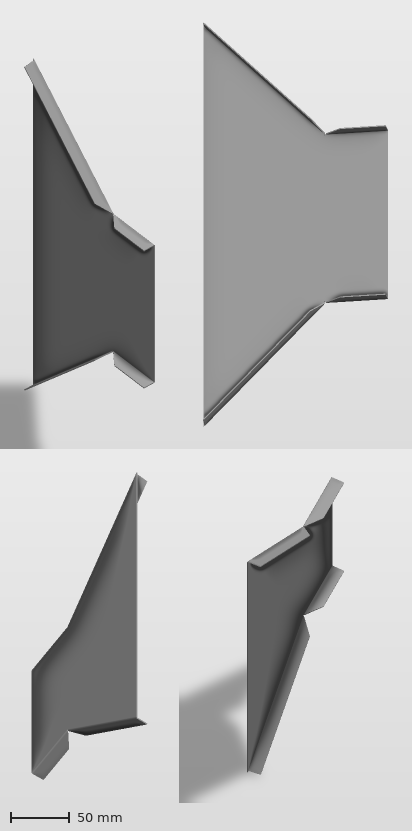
import cadquery as cq
import math

LENGTH = 160.13
DEPTH = 12.24
HEIGHT = 364.15

THICKNESS = 1.0
INNER_BEND_RADIUS = 0.24
OUTER_BEND_RADIUS = INNER_BEND_RADIUS + THICKNESS
HALF_HEIGHT = HEIGHT / 2
NECK_HALF_HEIGHT = 77.0
FLARE_ANGLE = 45
FLARE_STEP = 0.64
TIP_SETBACK = 1.5
COS_FLARE = math.cos(math.radians(FLARE_ANGLE))
SIN_FLARE = math.sin(math.radians(FLARE_ANGLE))

STEP_FOOT_X = TIP_SETBACK * COS_FLARE
STEP_FOOT_Z = HALF_HEIGHT - TIP_SETBACK * SIN_FLARE
FLARE_START_X = STEP_FOOT_X + FLARE_STEP * SIN_FLARE
FLARE_START_Z = STEP_FOOT_Z + FLARE_STEP * COS_FLARE

FLARE_FLANGE_LENGTH = (FLARE_START_Z - NECK_HALF_HEIGHT) / SIN_FLARE
NECK_START = FLARE_START_X + FLARE_FLANGE_LENGTH * COS_FLARE
NECK_FLANGE_LENGTH = LENGTH - NECK_START

NECK_TRIM = 15.0
TIP_TRIM = 1.2

RELIEF_DEPTH = 2.0
RELIEF_HALF_WIDTH = 1.0

SELECT_MARGIN = 0.01


def make_plate():
    """Flat funnel-shaped web, lying in XZ with its back face at Y = 0."""
    upper_edge = [
        (LENGTH, NECK_HALF_HEIGHT),
        (NECK_START, NECK_HALF_HEIGHT),
        (FLARE_START_X, FLARE_START_Z),
        (STEP_FOOT_X, STEP_FOOT_Z),
        (0, HALF_HEIGHT),
    ]
    lower_edge = [(x, -z) for x, z in reversed(upper_edge)]
    return cq.Workplane("XZ").polyline(upper_edge + lower_edge).close().extrude(THICKNESS)


def make_flange(length, start_trim, end_trim):
    """Upright strip along +X, its outer face at Z = 0, with trimmed free corners."""
    profile = [
        (0, 0),
        (length, 0),
        (length, -THICKNESS),
        (length - end_trim, -DEPTH),
        (start_trim, -DEPTH),
        (0, -THICKNESS),
    ]
    return cq.Workplane("XY").polyline(profile).close().extrude(-THICKNESS)


def make_neck_flange():
    """Flange along the upper straight edge of the neck."""
    flange = make_flange(NECK_FLANGE_LENGTH, NECK_TRIM, 0)
    return flange.translate((NECK_START, 0, NECK_HALF_HEIGHT))


def make_flare_flange():
    """Flange along the upper sloping edge, from the tip down to the neck."""
    flange = make_flange(FLARE_FLANGE_LENGTH, TIP_TRIM, NECK_TRIM)
    flange = flange.rotate((0, 0, 0), (0, 1, 0), FLARE_ANGLE)
    return flange.translate((FLARE_START_X, 0, FLARE_START_Z))


def make_relief():
    """Cutter for the upper bend relief, opening midway between the two flanges."""
    wedge = [
        (0, -RELIEF_DEPTH),
        (RELIEF_HALF_WIDTH, RELIEF_DEPTH),
        (-RELIEF_HALF_WIDTH, RELIEF_DEPTH),
    ]
    cutter = cq.Workplane("XZ").polyline(wedge).close().extrude(DEPTH)
    cutter = cutter.rotate((0, 0, 0), (0, 1, 0), FLARE_ANGLE / 2)
    return cutter.translate((NECK_START, 0, NECK_HALF_HEIGHT))


def round_bends(body, bend_y, radius):
    """Round the long flange root edges lying in the plane Y = bend_y.

    The web's two vertical end edges lie in the same plane and stay sharp.
    """
    slab = cq.selectors.BoxSelector(
        (SELECT_MARGIN, bend_y - SELECT_MARGIN, -HALF_HEIGHT),
        (LENGTH - SELECT_MARGIN, bend_y + SELECT_MARGIN, HALF_HEIGHT),
    )
    shortest_root = NECK_FLANGE_LENGTH / 2
    roots = body.edges(slab).filter(lambda edge: edge.Length() > shortest_root)
    return roots.fillet(radius)


result = make_plate()
for upper_flange in (make_neck_flange(), make_flare_flange()):
    result = result.union(upper_flange).union(upper_flange.mirror("XY"))

upper_relief = make_relief()
result = result.cut(upper_relief).cut(upper_relief.mirror("XY"))

result = round_bends(result, 0, OUTER_BEND_RADIUS)
result = round_bends(result, -THICKNESS, INNER_BEND_RADIUS)